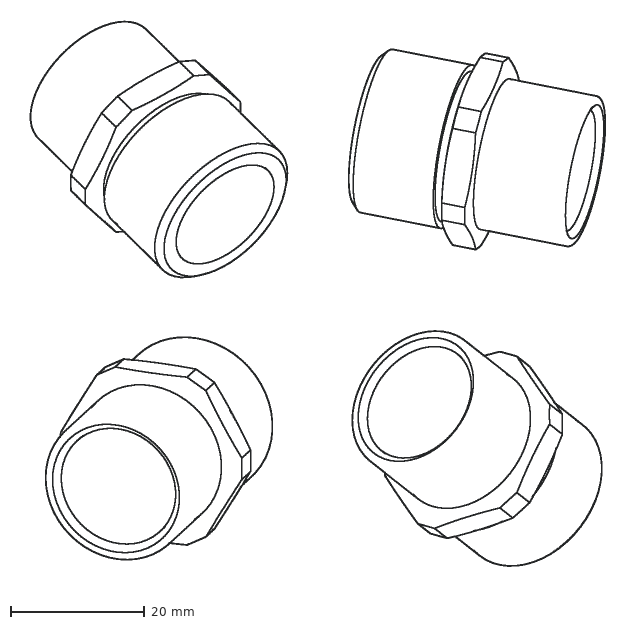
import cadquery as cq
import math

total_length = 33.5
nut_start = 14.0
nut_width = 4.5
neck_width = 1.5

sleeve_diameter = 23.0
spigot_diameter = 25.0
bore_diameter = 18.42

sleeve_end_round = 0.5
spigot_chamfer = 1.0
bore_lead_in_depth = 1.0
bore_lead_in_height = 1.0

nut_across_flats = 27.0
nut_across_trimmed_corners = 29.18
nut_face_diameter = 26.03
nut_bevel_angle = 15.0

nut_end = nut_start + nut_width
spigot_start = nut_end + neck_width


def cylinder(start, end, diameter):
    """Round bar along X between two axial positions."""
    return cq.Workplane("YZ", origin=(start, 0, 0)).circle(diameter / 2).extrude(end - start)


def hexagonal_bar(across_flats, turn):
    """Hexagonal bar as wide as the nut; at zero turn its corners point along Y."""
    across_corners = across_flats / math.cos(math.pi / 6)
    return (
        cq.Workplane("YZ", origin=(nut_start, 0, 0))
        .polygon(6, across_corners)
        .extrude(nut_width)
        .rotate((0, 0, 0), (1, 0, 0), turn)
    )


def bevel_envelope():
    """Disc with shallow conical faces that bevels both sides of the nut."""
    face_radius = nut_face_diameter / 2
    rim_radius = nut_across_flats / 2 / math.cos(math.pi / 6)
    bevel_depth = (rim_radius - face_radius) * math.tan(math.radians(nut_bevel_angle))
    return (
        cq.Workplane("XY")
        .moveTo(nut_start, 0)
        .lineTo(nut_start, face_radius)
        .lineTo(nut_start + bevel_depth, rim_radius)
        .lineTo(nut_end - bevel_depth, rim_radius)
        .lineTo(nut_end, face_radius)
        .lineTo(nut_end, 0)
        .close()
        .revolve(360, (0, 0, 0), (1, 0, 0))
    )


def make_nut():
    hexagon = hexagonal_bar(nut_across_flats, 0)
    corner_trim = hexagonal_bar(nut_across_trimmed_corners, 30)
    return hexagon.intersect(corner_trim).intersect(bevel_envelope())


def make_sleeve():
    """Sleeve that runs under the nut and forms the short neck beyond it."""
    return cylinder(0, spigot_start, sleeve_diameter).faces("<X").edges().fillet(sleeve_end_round)


def make_spigot():
    return cylinder(spigot_start, total_length, spigot_diameter).faces(">X").edges().chamfer(spigot_chamfer)


def make_bore():
    """Through bore, widened by a conical lead-in at the sleeve end."""
    bore_radius = bore_diameter / 2
    return (
        cq.Workplane("XY")
        .lineTo(0, bore_radius + bore_lead_in_height)
        .lineTo(bore_lead_in_depth, bore_radius)
        .lineTo(total_length, bore_radius)
        .lineTo(total_length, 0)
        .close()
        .revolve(360, (0, 0, 0), (1, 0, 0))
    )


body = make_sleeve().union(make_nut()).union(make_spigot())
result = body.cut(make_bore())